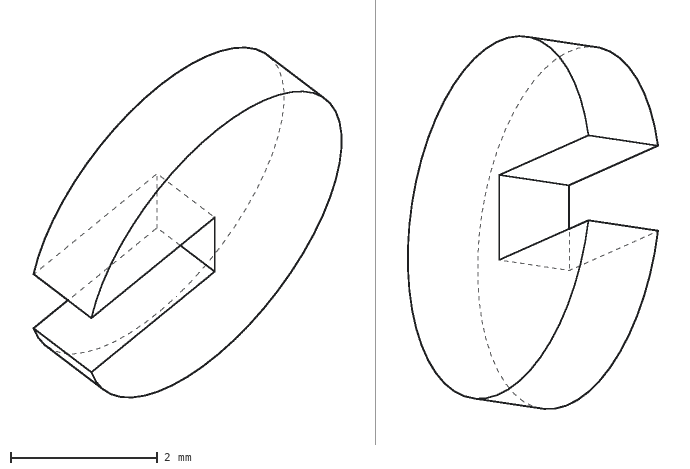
import cadquery as cq

disc_diameter = 5.0
disc_thickness = 1.1
slot_width = 1.2

disc_radius = disc_diameter / 2


def make_disc():
    """Plain round disc, extruded along +X from the YZ plane."""
    return cq.Workplane("YZ").circle(disc_radius).extrude(disc_thickness)


def make_slot():
    """Square-ended slot from the disc axis out through the -Y rim."""
    return cq.Workplane("XY").box(
        disc_thickness,
        disc_radius,
        slot_width,
        centered=(False, False, True),
    ).translate((0, -disc_radius, 0))


result = make_disc().cut(make_slot())